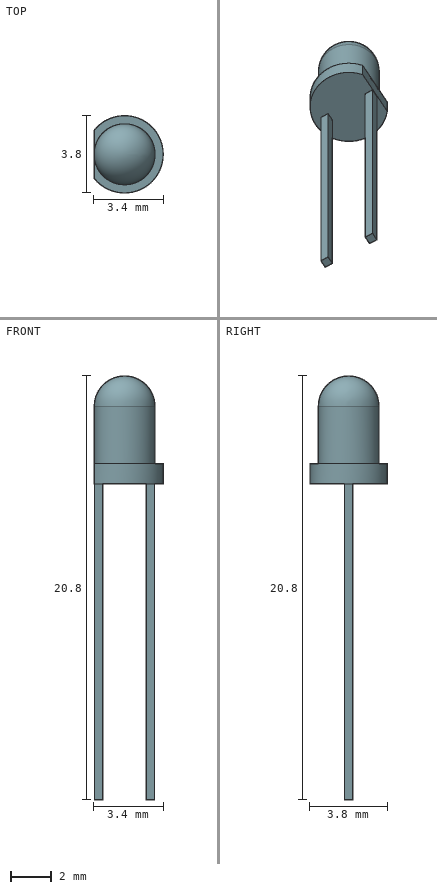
import cadquery as cq

total_height = 20.8
lens_diameter = 3.0
flange_diameter = 3.8
flange_thickness = 1.0
lead_length = 15.5
lead_width = 0.42
lead_pitch = 2.54

lens_radius = lens_diameter / 2
lens_height = total_height - lead_length - flange_thickness
lens_wall_height = lens_height - lens_radius


def make_flange():
    """Round rim, cut flat on the -X side where it meets the lens wall."""
    disc = cq.Workplane("XY").circle(flange_diameter / 2).extrude(flange_thickness)
    keep_box = (
        cq.Workplane("XY")
        .box(flange_diameter, flange_diameter, flange_thickness, centered=(False, True, False))
        .translate((-lens_radius, 0, 0))
    )
    return disc.intersect(keep_box)


def make_lens():
    """Cylinder with a hemispherical top, revolved about Z."""
    wall_top = flange_thickness + lens_wall_height
    dome_top = flange_thickness + lens_height
    diagonal = lens_radius * 0.5 ** 0.5
    return (
        cq.Workplane("XZ")
        .lineTo(lens_radius, 0)
        .lineTo(lens_radius, wall_top)
        .threePointArc((diagonal, wall_top + diagonal), (0, dome_top))
        .close()
        .revolve(360, (0, 0, 0), (0, 1, 0))
    )


def make_leads():
    """Two square leads hanging below the flange, side by side along X."""
    return (
        cq.Workplane("XY")
        .pushPoints([(-lead_pitch / 2, 0), (lead_pitch / 2, 0)])
        .rect(lead_width, lead_width)
        .extrude(-lead_length)
    )


result = make_flange().union(make_lens()).union(make_leads())